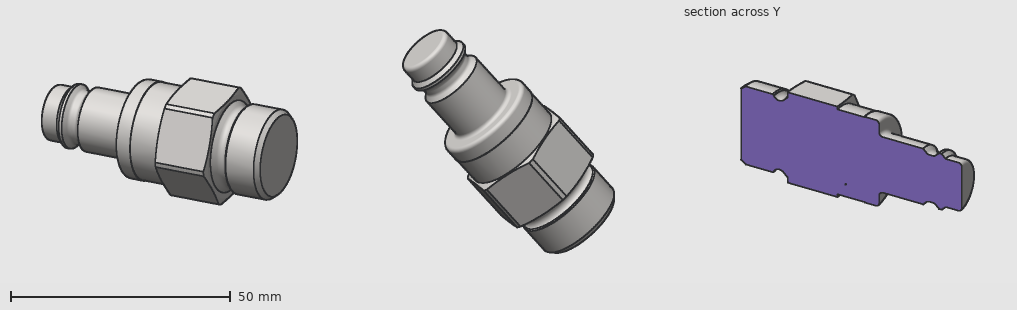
import cadquery as cq
import math

LENGTH = 57.4
TIP_RADIUS = 13.0 / 2
TIP_FILLET = 1.0
RIB_START = 4.2
RIB_TOP_START = 5.2
RIB_TOP_END = 5.95
STEM_RADIUS = 15.0 / 2
STEM_START = 10.05
SEAL_GROOVE_RADIUS = 12.6 / 2
SEAL_GROOVE_FILLET = 1.0
SHOULDER_X = 21.45
SHOULDER_FILLET = 1.0
COLLAR_RADIUS = 23.0 / 2
COLLAR_END = 25.3
SLEEVE_RADIUS = 22.8 / 2

HEX_START = 32.3
HEX_END = 45.35
HEX_ACROSS_FLATS = 24.0
HEX_CORNER_RADIUS = 13.52
HEX_TILT = 7.9
HEX_CHAMFER_LENGTH = 0.4

RELIEF_CENTER_X = 47.4
RELIEF_ARC = 1.5
RELIEF_RADIUS = 18.5 / 2
RELIEF_EDGE_RADIUS = 20.3 / 2
REAR_RADIUS = 20.95 / 2
REAR_FACE_RADIUS = 19.0 / 2
REAR_CHAMFER_LENGTH = 1.2

SIN45 = math.sin(math.radians(45))


def arc_point(center, radius, degrees):
    """Point on a circle in the (X, radius) plane."""
    angle = math.radians(degrees)
    return (center[0] + radius * math.cos(angle), center[1] + radius * math.sin(angle))


def turned_body():
    blend_center_r = SEAL_GROOVE_RADIUS + SEAL_GROOVE_FILLET
    flank_run = STEM_RADIUS - blend_center_r + SEAL_GROOVE_FILLET * SIN45
    blend_run = SEAL_GROOVE_FILLET * SIN45
    left_blend = (RIB_TOP_END + flank_run + blend_run, blend_center_r)
    right_blend = (STEM_START - flank_run - blend_run, blend_center_r)

    tip_center = (TIP_FILLET, TIP_RADIUS - TIP_FILLET)
    inner_center = (SHOULDER_X - SHOULDER_FILLET, STEM_RADIUS + SHOULDER_FILLET)
    outer_center = (SHOULDER_X + SHOULDER_FILLET, COLLAR_RADIUS - SHOULDER_FILLET)

    relief_center = (RELIEF_CENTER_X, RELIEF_RADIUS + RELIEF_ARC)
    relief_entry = arc_point(relief_center, RELIEF_ARC, 225)
    entry_radius = relief_entry[1] + relief_entry[0] - HEX_END
    rise = relief_center[1] - RELIEF_EDGE_RADIUS
    relief_exit_x = RELIEF_CENTER_X + math.sqrt(RELIEF_ARC**2 - rise**2)
    rear_start = relief_exit_x + REAR_RADIUS - RELIEF_EDGE_RADIUS

    profile = (
        cq.Workplane("XY")
        .lineTo(0, tip_center[1])
        .threePointArc(arc_point(tip_center, TIP_FILLET, 135), (TIP_FILLET, TIP_RADIUS))
        .lineTo(RIB_START, TIP_RADIUS)
        .lineTo(RIB_TOP_START, STEM_RADIUS)
        .lineTo(RIB_TOP_END, STEM_RADIUS)
        .lineTo(*arc_point(left_blend, SEAL_GROOVE_FILLET, 225))
        .threePointArc(
            arc_point(left_blend, SEAL_GROOVE_FILLET, 247.5), (left_blend[0], SEAL_GROOVE_RADIUS)
        )
        .lineTo(right_blend[0], SEAL_GROOVE_RADIUS)
        .threePointArc(
            arc_point(right_blend, SEAL_GROOVE_FILLET, 292.5),
            arc_point(right_blend, SEAL_GROOVE_FILLET, 315),
        )
        .lineTo(STEM_START, STEM_RADIUS)
        .lineTo(inner_center[0], STEM_RADIUS)
        .threePointArc(arc_point(inner_center, SHOULDER_FILLET, 315), (SHOULDER_X, inner_center[1]))
        .lineTo(SHOULDER_X, outer_center[1])
        .threePointArc(arc_point(outer_center, SHOULDER_FILLET, 135), (outer_center[0], COLLAR_RADIUS))
        .lineTo(COLLAR_END, COLLAR_RADIUS)
        .lineTo(COLLAR_END, SLEEVE_RADIUS)
        .lineTo(HEX_END, SLEEVE_RADIUS)
        .lineTo(HEX_END, entry_radius)
        .lineTo(*relief_entry)
        .threePointArc((RELIEF_CENTER_X, RELIEF_RADIUS), (relief_exit_x, RELIEF_EDGE_RADIUS))
        .lineTo(rear_start, REAR_RADIUS)
        .lineTo(LENGTH - REAR_CHAMFER_LENGTH, REAR_RADIUS)
        .lineTo(LENGTH, REAR_FACE_RADIUS)
        .lineTo(LENGTH, 0)
        .close()
    )
    return profile.revolve(360, (0, 0, 0), (1, 0, 0))


def hexagon():
    flat_radius = HEX_ACROSS_FLATS / 2
    corner_diameter = HEX_ACROSS_FLATS / math.cos(math.radians(30))
    prism = (
        cq.Workplane("YZ", origin=(HEX_START, 0, 0))
        .polygon(6, corner_diameter)
        .extrude(HEX_END - HEX_START)
        .rotate((0, 0, 0), (1, 0, 0), HEX_TILT)
    )
    envelope = (
        cq.Workplane("XY")
        .moveTo(HEX_START, 0)
        .lineTo(HEX_START, flat_radius)
        .lineTo(HEX_START + HEX_CHAMFER_LENGTH, HEX_CORNER_RADIUS)
        .lineTo(HEX_END - HEX_CHAMFER_LENGTH, HEX_CORNER_RADIUS)
        .lineTo(HEX_END, flat_radius)
        .lineTo(HEX_END, 0)
        .close()
        .revolve(360, (0, 0, 0), (1, 0, 0))
    )
    return prism.intersect(envelope)


result = turned_body().union(hexagon())